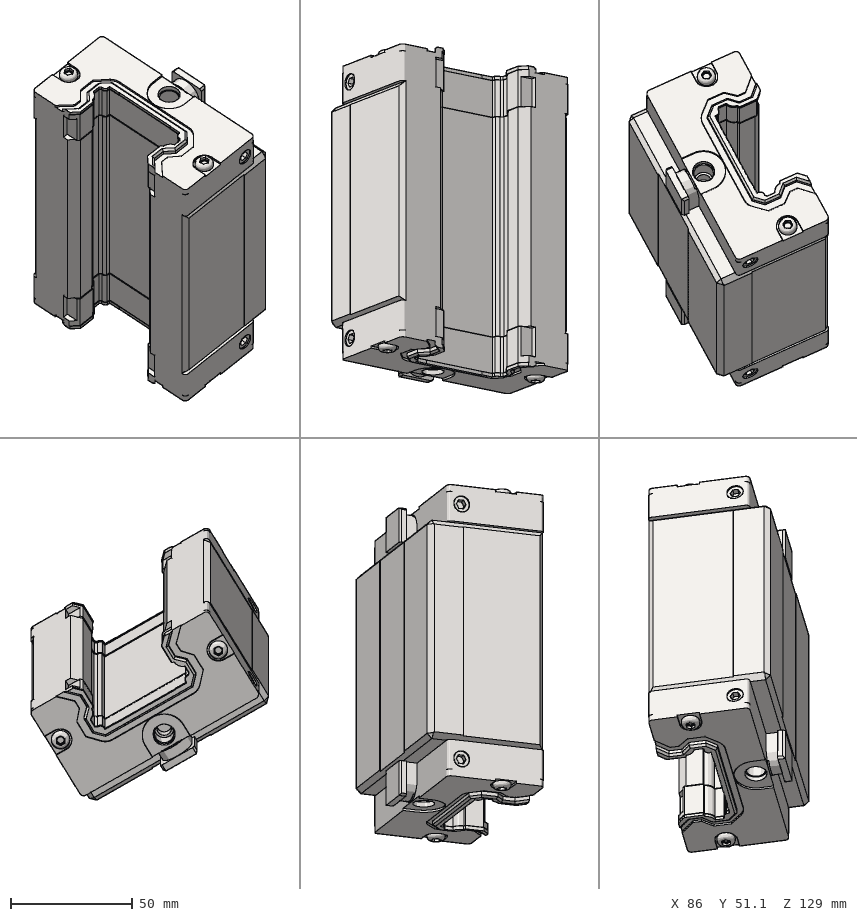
import cadquery as cq


OVERALL_LENGTH = 129.0
SEAL_TOP = OVERALL_LENGTH / 2
PLATE_THICKNESS = 3.0
SEAL_RISE = 1.5
PLATE_TOP = SEAL_TOP - SEAL_RISE
PLATE_BASE = PLATE_TOP - PLATE_THICKNESS
CAP_BASE = 47.2
PLATE_RECESS = 0.9
RECESS_FLOOR = PLATE_TOP - PLATE_RECESS

BLOCK_WIDTH = 86.0
BLOCK_HEIGHT = 51.1
SIDE_RELIEF = 0.3
REFERENCE_BOTTOM = 35.9
BLOCK_CHAMFER = 2.3
TOP_GROOVE_WIDTH = 27.9
TOP_GROOVE_DEPTH = 0.4

CAP_WIDTH = 85.4
CAP_HEIGHT = 42.6
CAP_CORNER = 1.5
PLATE_CORNER = 1.8
CAP_CHANNEL_GAP = 0.3
BLOCK_CHANNEL_GAP = 0.6
LIP_POCKET_WIDTH = 50.7
LIP_POCKET_DEPTH = 2.3

RECESS_CORNER = 5.8
BAND_CHAMFER = 0.9
SEAL_RELIEF_WIDTH = 28.4
SEAL_RELIEF_DEPTH = 0.1
OPENING_CEILING = 21.9
SEAL_FLARE_X = 21.8
BLOCK_FLARE_X = 22.2

PORT_Y = 36.9
PORT_PAD_WIDTH = 18.0
PORT_STEP = 52.4
PORT_BORES = ((9.0, PLATE_BASE), (8.0, PORT_STEP), (6.0, CAP_BASE))

PLUG_Z = 54.6
NECK_DIAMETER = 14.0
NECK_COLLAR_RADIUS = 7.2
NECK_COLLAR_HEIGHT = 0.6
HEAD_WIDTH = 16.4
HEAD_BOTTOM = 47.6
HEAD_TOP = 50.7
HEAD_END = 62.2
HEAD_CHAMFER = 0.9

SCREW_X = 37.8
SCREW_Y = 16.9
SCREW_POCKET_DIAMETER = 9.3
SCREW_HEAD_DIAMETER = 7.6
SCREW_DOME_RADIUS = 1.7
SCREW_SOCKET_CORNERS = 4.0
SCREW_SOCKET_DEPTH = 1.3
SCREW_DRILL_DIAMETER = 3.0
SCREW_DRILL_DEPTH = 0.5

SET_SCREW_Y = 36.5
SET_SCREW_Z = 55.1
SET_SCREW_DIAMETER = 6.8
SET_SCREW_SINK = 0.6
SET_SCREW_SOCKET_CORNERS = 4.3
SET_SCREW_SOCKET_DEPTH = 2.6

BELOW = 3.9


def slab(width, bottom, top, z_low, z_high):
    """Box centred on X between two heights in Y and two levels in Z."""
    plane = cq.Workplane("XY", origin=(0, bottom, z_low))
    return plane.box(width, top - bottom, z_high - z_low, centered=(True, False, False))


def mirrored_outline(z, half_points):
    """Closed outline at level z from its right half, listed bottom to top."""
    left = [(-x, y) for x, y in reversed(half_points)]
    return cq.Workplane("XY", origin=(0, 0, z)).polyline(half_points + left).close()


def rail_opening(z_low, z_high, gap, flare_x):
    """Rail clearance with rounded bulges and lips flared at 45 degrees, widened all round by gap."""
    wall_x = 18.7
    waist_x = 22.6
    lip_y = flare_x - wall_x
    right_half = (
        cq.Workplane("XY", origin=(0, 0, z_low))
        .moveTo(0, -BELOW)
        .lineTo(flare_x + BELOW, -BELOW)
        .lineTo(wall_x, lip_y)
        .lineTo(wall_x, 11.2)
        .lineTo(19.7, 11.6)
        .threePointArc((20.6, 13.9), (waist_x, 15.4))
        .lineTo(waist_x, 18.8)
        .lineTo(21.8, 19.5)
        .threePointArc((20.3, 19.9), (19.6, 20.6))
        .lineTo(19.5, OPENING_CEILING)
        .lineTo(0, OPENING_CEILING)
    )
    outline = right_half.mirrorY()
    if gap:
        outline = outline.offset2D(gap, "intersection")
    return outline.extrude(z_high - z_low)


def block_half():
    """Upper half of the steel block with chamfered outer edges and its rail channel."""
    narrow = slab(BLOCK_WIDTH - 2 * SIDE_RELIEF, 0, BLOCK_HEIGHT, -CAP_BASE, CAP_BASE)
    narrow = narrow.edges("|Z or |Y or (>Y and |X)").chamfer(BLOCK_CHAMFER - SIDE_RELIEF)
    wide = slab(BLOCK_WIDTH, REFERENCE_BOTTOM, BLOCK_HEIGHT, -CAP_BASE, CAP_BASE)
    wide = wide.edges("(|Z and >Y) or |Y or (>Y and |X)").chamfer(BLOCK_CHAMFER)
    groove = slab(TOP_GROOVE_WIDTH, BLOCK_HEIGHT - TOP_GROOVE_DEPTH, BLOCK_HEIGHT, -CAP_BASE, CAP_BASE)
    upper = slab(BLOCK_WIDTH, 0, BLOCK_HEIGHT, 0, CAP_BASE)
    channel = rail_opening(0, CAP_BASE, BLOCK_CHANNEL_GAP, BLOCK_FLARE_X)
    return narrow.union(wide).cut(groove).cut(channel).intersect(upper)


def seal_recess():
    """Shallow recess in the end plate around the seal band."""
    recess = mirrored_outline(
        RECESS_FLOOR,
        [(29.9 + BELOW, -BELOW), (24.3, 5.7), (24.3, 9.3), (28.1, 13.7), (28.1, 21.0), (21.9, 27.7)],
    ).extrude(PLATE_RECESS)
    return recess.edges("|Z and >Y").fillet(RECESS_CORNER)


def seal_band():
    """Raised band with a bevelled outer rim; the rail opening is cut later."""
    band = mirrored_outline(
        RECESS_FLOOR,
        [(25.8 + BELOW, -BELOW), (21.2, 4.6), (21.2, 10.0), (24.8, 13.7), (24.8, 20.9), (20.9, 24.9)],
    ).extrude(SEAL_TOP - RECESS_FLOOR)
    band = band.faces(">Z").chamfer(BAND_CHAMFER)
    return band.intersect(slab(BLOCK_WIDTH, 0, BLOCK_HEIGHT, RECESS_FLOOR, SEAL_TOP))


def end_cap():
    """Rounded cap, end plate and seal band, with the rail opening through all three."""
    cap = slab(CAP_WIDTH, 0, CAP_HEIGHT, CAP_BASE, PLATE_BASE).edges("|Z").fillet(CAP_CORNER)
    plate = slab(CAP_WIDTH, 0, CAP_HEIGHT, PLATE_BASE, PLATE_TOP).edges("|Z").fillet(PLATE_CORNER)
    lip_pocket = slab(LIP_POCKET_WIDTH, 0, LIP_POCKET_DEPTH, CAP_BASE, PLATE_BASE)
    seal_relief = slab(
        SEAL_RELIEF_WIDTH, OPENING_CEILING, OPENING_CEILING + SEAL_RELIEF_DEPTH, PLATE_TOP, SEAL_TOP
    )
    return (
        cap.union(plate)
        .cut(seal_recess())
        .union(seal_band())
        .cut(rail_opening(CAP_BASE, PLATE_TOP, CAP_CHANNEL_GAP, SEAL_FLARE_X))
        .cut(rail_opening(PLATE_TOP, SEAL_TOP, 0, SEAL_FLARE_X))
        .cut(seal_relief)
        .cut(lip_pocket)
    )


def port_cut():
    """U-shaped pad recess and the stepped lubrication bore."""
    pad_plane = cq.Workplane("XY", origin=(0, PORT_Y, RECESS_FLOOR))
    cut = pad_plane.circle(PORT_PAD_WIDTH / 2).extrude(PLATE_RECESS)
    cut = cut.union(slab(PORT_PAD_WIDTH, PORT_Y, CAP_HEIGHT, RECESS_FLOOR, PLATE_TOP))
    for diameter, floor in PORT_BORES:
        bore = cq.Workplane("XY", origin=(0, PORT_Y, floor)).circle(diameter / 2)
        cut = cut.union(bore.extrude(PLATE_TOP - floor))
    return cut


def plug():
    """Round-ended neck with a low collar, carrying a rectangular head."""
    neck_height = HEAD_BOTTOM - CAP_HEIGHT
    neck_plane = cq.Workplane("XZ", origin=(0, CAP_HEIGHT, PLUG_Z))
    neck = neck_plane.circle(NECK_DIAMETER / 2).extrude(-neck_height)
    neck = neck.union(slab(NECK_DIAMETER, CAP_HEIGHT, HEAD_BOTTOM, CAP_BASE, PLUG_Z))
    collar = neck_plane.circle(NECK_COLLAR_RADIUS).extrude(-NECK_COLLAR_HEIGHT)
    collar = collar.intersect(slab(HEAD_WIDTH, CAP_HEIGHT, BLOCK_HEIGHT, PLATE_BASE, PLATE_TOP))
    head = slab(HEAD_WIDTH, HEAD_BOTTOM, HEAD_TOP, CAP_BASE, HEAD_END)
    head = head.edges("(>Z and |Y) or (>Y and |Z)").chamfer(HEAD_CHAMFER)
    return neck.union(collar).union(head)


def screw_pocket(side):
    """Shallow slot that runs from the plate's side edge to round the screw head."""
    width = SCREW_POCKET_DIAMETER
    run = CAP_WIDTH / 2 - SCREW_X
    plane = cq.Workplane("XY", origin=(side * SCREW_X, SCREW_Y, RECESS_FLOOR))
    slot = plane.center(side * run / 2, 0).rect(run, width).extrude(PLATE_RECESS)
    return plane.circle(width / 2).extrude(PLATE_RECESS).union(slot)


def button_screw(side):
    """Domed screw head with a hexagon socket and a drilled socket floor."""
    height = SEAL_TOP - RECESS_FLOOR
    head = cq.Workplane("XY").circle(SCREW_HEAD_DIAMETER / 2).extrude(height)
    head = head.faces(">Z").edges().fillet(SCREW_DOME_RADIUS)
    top = cq.Workplane("XY", origin=(0, 0, height))
    socket = top.polygon(6, SCREW_SOCKET_CORNERS).extrude(-SCREW_SOCKET_DEPTH)
    drill = top.circle(SCREW_DRILL_DIAMETER / 2).extrude(-SCREW_SOCKET_DEPTH - SCREW_DRILL_DEPTH)
    return head.cut(socket).cut(drill).translate((side * SCREW_X, SCREW_Y, RECESS_FLOOR))


def set_screw_cut(side):
    """Sunk set screw with a hexagon socket in the side face of the cap."""
    face = cq.Workplane("YZ", origin=(side * CAP_WIDTH / 2, SET_SCREW_Y, SET_SCREW_Z))
    sink = face.circle(SET_SCREW_DIAMETER / 2).extrude(-side * SET_SCREW_SINK)
    socket_reach = SET_SCREW_SINK + SET_SCREW_SOCKET_DEPTH
    socket = face.polygon(6, SET_SCREW_SOCKET_CORNERS).extrude(-side * socket_reach)
    return sink.union(socket)


upper_half = block_half().union(end_cap()).cut(port_cut()).union(plug())
for side in (-1, 1):
    upper_half = upper_half.cut(screw_pocket(side)).union(button_screw(side)).cut(set_screw_cut(side))

result = upper_half.union(upper_half.mirror("XY"))